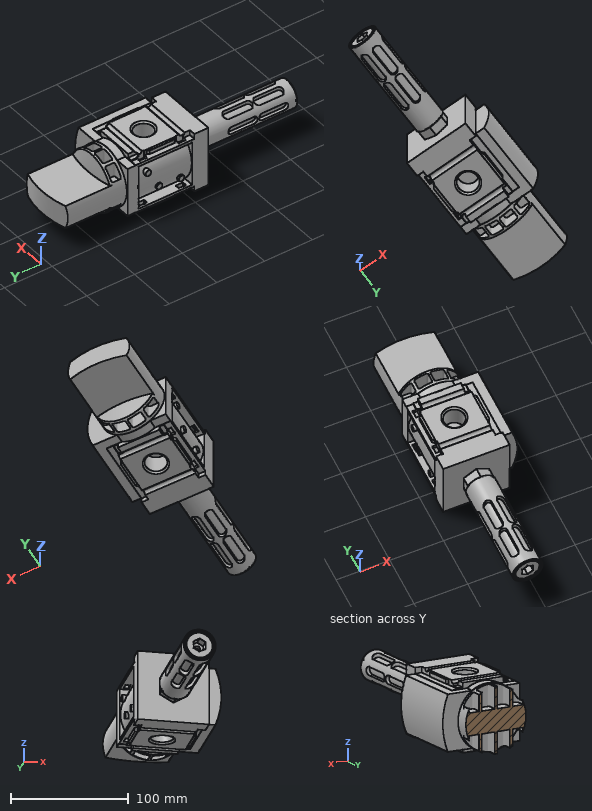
import cadquery as cq
import math


BLOCK = 62.0
BLOCK_LENGTH = 76.3
FLANGE_FRONT = 14.6
FRAME_HALF_HEIGHT = 25.7
PAD_HALF_WIDTH = 24.5
BARREL_DIAMETER = 60.0
HALF = BLOCK / 2

COVER_HALF_HEIGHT = 25.5
COVER_BACK = 84.8
COVER_SIDE = 39.8
COVER_WIDTH = 75.8
COVER_BULGE = COVER_WIDTH - HALF

NOTCH_WIDTH = 4.4
NOTCH_LENGTH = 8.7
NOTCH_FLOOR = 26.7
GROOVE_DIAMETER = 5.5
GROOVE_DEPTH = 2.3
GROOVE_POSITIONS = (22.9, 67.0)
CLIP_HOLE_POSITIONS = (25.2, 66.0)
CLIP_HOLE_LENGTH = 7.5
CLIP_HOLE_LEFT = -28.0
CLIP_HOLE_RIGHT = -23.6
TAB_WIDTH = 2.3
TAB_CHAMFER = 1.8
TAB_LENGTH = 29.8
TAB_TOP = 30.5
TAB_BOTTOM = 26.7
PORT_Y = 45.5
PORT_DIAMETER = 19.3
PORT_RIM_DIAMETER = 22.5
PORT_DEPTH = 20.5

WINDOW_FRONT = 17.0
WINDOW_BACK = 73.2
WINDOW_HEIGHT = 45.5
WINDOW_HALF_HEIGHT = WINDOW_HEIGHT / 2
PIN_DIAMETER = 6.0
PIN_POSITIONS = ((63.0, 10.8), (51.0, -8.7), (28.0, -10.8))

KNOB_RADIUS = 29.8
SKIRT_EDGE = 100.5
SKIRT_BEVEL_DEPTH = 0.5
SKIRT_BEVEL_LENGTH = 1.8
SKIRT_CROWN = 104.3
GRIP_THICKNESS = 24.0
GRIP_CORNER = 146.5
GRIP_END = 151.3
KNOB_POCKETS = ((1.0, 14.0), (16.5, 26.5))
POCKET_FRONT = 87.9
POCKET_BACK = 98.1
POCKET_FLOOR = 10.3
POCKET_CORNER = 1.5

SILENCER_LENGTH = 105.5
HEX_LENGTH = 9.2
HEX_FLATS = 24.0
SLEEVE_DIAMETER = 28.0
SLOT_FLOOR_DIAMETER = 21.0
SLOT_LENGTH = 30.5
SLOT_WIDTH = 7.5
SLOT_OFFSET = 6.2
SLOT_CENTRES = (-48.5, -81.0)
END_PLUG_DIAMETER = 22.5
END_GROOVE_DIAMETER = 25.7
END_GROOVE_DEPTH = 1.0
SOCKET_FLATS = 10.3
SOCKET_DEPTH = 10.3
SOCKET_HOLE_DIAMETER = 5.5
SOCKET_HOLE_DEPTH = 5.1


def box(x_range, y_range, z_range):
    """Block between the (low, high) limits along each axis."""
    sizes = [high - low for low, high in (x_range, y_range, z_range)]
    corner = (x_range[0], y_range[0], z_range[0])
    return cq.Workplane("XY").box(*sizes, centered=False).translate(corner)


def rod(diameter, front, back):
    """Cylinder around the Y axis."""
    return cq.Workplane("XZ", origin=(0, front, 0)).circle(diameter / 2).extrude(front - back)


def hexagon(flats, front, back):
    """Hexagonal bar around the Y axis with two corners pointing along Z."""
    bar = cq.Workplane("XZ", origin=(0, front, 0))
    bar = bar.polygon(6, flats / math.cos(math.pi / 6)).extrude(front - back)
    return bar.rotate((0, 0, 0), (0, 1, 0), 90)


def both_sides(shape):
    """The shape and its mirror image below the axis."""
    return shape.union(shape.mirror("XY"))


def make_cover():
    """Plate behind the block, continued as a bulged plate along its +X side."""
    h = COVER_HALF_HEIGHT
    back = box((-HALF, HALF), (BLOCK_LENGTH, COVER_BACK), (-h, h))
    side = (
        cq.Workplane("XZ", origin=(0, FLANGE_FRONT, 0))
        .moveTo(HALF, -h)
        .lineTo(COVER_SIDE, -h)
        .threePointArc((COVER_BULGE, 0), (COVER_SIDE, h))
        .lineTo(HALF, h)
        .close()
        .extrude(FLANGE_FRONT - COVER_BACK)
    )
    return back.union(side)


def make_pad():
    """Raised top pad with two back corner notches and a chamfered tab on each side."""
    w = PAD_HALF_WIDTH
    pad = box((-w, w), (FLANGE_FRONT, BLOCK_LENGTH), (0, HALF))
    for x in (-w, w - NOTCH_WIDTH):
        notch_y = (BLOCK_LENGTH - NOTCH_LENGTH, BLOCK_LENGTH)
        pad = pad.cut(box((x, x + NOTCH_WIDTH), notch_y, (NOTCH_FLOOR, HALF)))
    tab_half = w + TAB_WIDTH
    tab_front = PORT_Y - TAB_LENGTH / 2
    tab_back = PORT_Y + TAB_LENGTH / 2
    tabs = box((-tab_half, tab_half), (tab_front, tab_back), (TAB_BOTTOM, TAB_TOP))
    tabs = tabs.edges("|Z").chamfer(TAB_CHAMFER)
    return pad.union(tabs)


def make_pad_cuts():
    """Cross grooves, clip holes and the port of the top pad."""
    groove_z = HALF - GROOVE_DEPTH + GROOVE_DIAMETER / 2
    cuts = (
        cq.Workplane("XY", origin=(0, PORT_Y, HALF - PORT_DEPTH))
        .circle(PORT_DIAMETER / 2)
        .extrude(PORT_DEPTH)
    )
    rim_depth = (PORT_RIM_DIAMETER - PORT_DIAMETER) / 2
    rim = cq.Solid.makeCone(
        PORT_DIAMETER / 2,
        PORT_RIM_DIAMETER / 2,
        rim_depth,
        pnt=cq.Vector(0, PORT_Y, HALF - rim_depth),
    )
    cuts = cuts.union(cq.Workplane(rim))
    for y in GROOVE_POSITIONS:
        groove = (
            cq.Workplane("YZ", origin=(-PAD_HALF_WIDTH, y, groove_z))
            .circle(GROOVE_DIAMETER / 2)
            .extrude(2 * PAD_HALF_WIDTH)
        )
        cuts = cuts.union(groove)
    for y in CLIP_HOLE_POSITIONS:
        hole = box(
            (CLIP_HOLE_LEFT, CLIP_HOLE_RIGHT),
            (y - CLIP_HOLE_LENGTH / 2, y + CLIP_HOLE_LENGTH / 2),
            (WINDOW_HALF_HEIGHT, HALF),
        )
        cuts = cuts.union(hole)
    return cuts


def make_window():
    """Side opening that stops at the barrel, with the pins left standing."""
    h = WINDOW_HALF_HEIGHT
    window = box((-HALF, 0), (WINDOW_FRONT, WINDOW_BACK), (-h, h))
    window = window.cut(rod(BARREL_DIAMETER, WINDOW_FRONT, WINDOW_BACK))
    for y, z in PIN_POSITIONS:
        pin = cq.Workplane("YZ", origin=(-HALF, y, z)).circle(PIN_DIAMETER / 2).extrude(HALF)
        window = window.cut(pin)
    return window


def make_knob():
    """Domed skirt with pockets, and a flat grip with a rounded end."""
    rim_radius = KNOB_RADIUS - SKIRT_BEVEL_DEPTH
    dome_rise = SKIRT_CROWN - SKIRT_EDGE
    dome_radius = (rim_radius**2 + dome_rise**2) / (2 * dome_rise)
    skirt = (
        cq.Workplane("XY")
        .moveTo(0, COVER_BACK)
        .lineTo(KNOB_RADIUS, COVER_BACK)
        .lineTo(KNOB_RADIUS, SKIRT_EDGE - SKIRT_BEVEL_LENGTH)
        .lineTo(rim_radius, SKIRT_EDGE)
        .radiusArc((0, SKIRT_CROWN), -dome_radius)
        .close()
        .revolve(360, (0, 0, 0), (0, 1, 0))
    )
    grip = (
        cq.Workplane("XY", origin=(0, 0, -GRIP_THICKNESS / 2))
        .moveTo(-KNOB_RADIUS, COVER_BACK)
        .lineTo(KNOB_RADIUS, COVER_BACK)
        .lineTo(KNOB_RADIUS, GRIP_CORNER)
        .threePointArc((0, GRIP_END), (-KNOB_RADIUS, GRIP_CORNER))
        .close()
        .extrude(GRIP_THICKNESS)
        .intersect(rod(2 * KNOB_RADIUS, COVER_BACK, GRIP_END))
    )
    return skirt.union(grip).cut(both_sides(make_knob_pockets()))


def make_knob_pockets():
    """Upper row of finger pockets, cut straight down into the skirt."""
    pockets = cq.Workplane("XY")
    for inner, outer in KNOB_POCKETS:
        for x_range in ((inner, outer), (-outer, -inner)):
            pocket = box(x_range, (POCKET_FRONT, POCKET_BACK), (POCKET_FLOOR, HALF))
            pockets = pockets.union(pocket.edges("|Z").fillet(POCKET_CORNER))
    return pockets


def make_valve():
    """Valve block with pads, window, cover plate, collar and knob as one solid."""
    front = box((-HALF, HALF), (0, FLANGE_FRONT), (-HALF, HALF))
    frame = box((-HALF, HALF), (FLANGE_FRONT, BLOCK_LENGTH), (-FRAME_HALF_HEIGHT, FRAME_HALF_HEIGHT))
    valve = front.union(frame).union(both_sides(make_pad()))
    valve = valve.cut(both_sides(make_pad_cuts())).cut(make_window())
    collar = rod(BARREL_DIAMETER, BLOCK_LENGTH, COVER_BACK)
    return valve.union(make_cover()).union(collar).union(make_knob())


def make_slots():
    """Slots in the silencer sleeve: two from above, two from below and one from each side."""
    slots = cq.Workplane("XY")
    for y in SLOT_CENTRES:
        for x in (-SLOT_OFFSET, SLOT_OFFSET):
            slot = cq.Workplane("XY", origin=(x, y, -HALF)).slot2D(SLOT_LENGTH, SLOT_WIDTH, 90)
            slots = slots.union(slot.extrude(BLOCK))
        side_slot = cq.Workplane("YZ", origin=(-HALF, y, 0)).slot2D(SLOT_LENGTH, SLOT_WIDTH)
        slots = slots.union(side_slot.extrude(BLOCK))
    return slots.cut(rod(SLOT_FLOOR_DIAMETER, -SILENCER_LENGTH, 0))


def make_silencer():
    """Hexagon, slotted sleeve and end plug with a hexagon socket as one solid."""
    end = -SILENCER_LENGTH
    sleeve = rod(SLEEVE_DIAMETER, end, -HEX_LENGTH).cut(make_slots())
    groove_back = end + END_GROOVE_DEPTH
    groove = rod(END_GROOVE_DIAMETER, end, groove_back).cut(rod(END_PLUG_DIAMETER, end, groove_back))
    socket_floor = end + SOCKET_DEPTH
    socket = hexagon(SOCKET_FLATS, end, socket_floor)
    hole = rod(SOCKET_HOLE_DIAMETER, socket_floor, socket_floor + SOCKET_HOLE_DEPTH)
    hex_nut = hexagon(HEX_FLATS, -HEX_LENGTH, 0)
    return hex_nut.union(sleeve).cut(groove).cut(socket).cut(hole)


valve = make_valve()
silencer = make_silencer()

result = cq.Compound.makeCompound([valve.val(), silencer.val()])